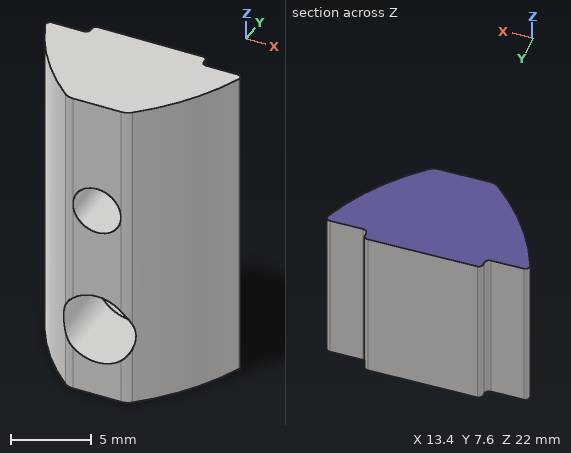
import cadquery as cq
import math

depth = 7.6
length = 22.0

rib_width = 7.83
rib_height = 0.8
shoulder_y = depth - rib_height
flank_radius = 16.0
flank_foot_x = 2.02
flank_top_x = 6.85
front_fillet = 1.01
shoulder_fillet = 0.3
rib_fillet = 0.3
rib_root_fillet = 0.3

through_diameter = 3.3
through_z = 14.0
blind_diameter = 5.0
blind_z = 5.0
blind_depth = 5.0
tip_diameter = 0.3
tip_angle = 120.0


def make_body():
    """Extruded profile with bulging flanks and a low rib along the back."""
    rib_x = rib_width / 2
    chord_x = flank_top_x - flank_foot_x
    chord = math.hypot(chord_x, shoulder_y)
    bulge = flank_radius - math.sqrt(flank_radius**2 - (chord / 2) ** 2)
    mid_x = (flank_foot_x + flank_top_x) / 2 + bulge * shoulder_y / chord
    mid_y = shoulder_y / 2 - bulge * chord_x / chord
    body = (
        cq.Workplane("XY")
        .moveTo(-flank_foot_x, 0)
        .lineTo(flank_foot_x, 0)
        .threePointArc((mid_x, mid_y), (flank_top_x, shoulder_y))
        .lineTo(rib_x, shoulder_y)
        .lineTo(rib_x, depth)
        .lineTo(-rib_x, depth)
        .lineTo(-rib_x, shoulder_y)
        .lineTo(-flank_top_x, shoulder_y)
        .threePointArc((-mid_x, mid_y), (-flank_foot_x, 0))
        .close()
        .extrude(length)
    )
    corners = [
        (flank_foot_x, 0, front_fillet),
        (flank_top_x, shoulder_y, shoulder_fillet),
        (rib_x, shoulder_y, rib_root_fillet),
        (rib_x, depth, rib_fillet),
    ]
    for x, y, radius in corners:
        for side in (-1, 1):
            corner = cq.selectors.NearestToPointSelector((side * x, y, length / 2))
            body = body.edges(corner).fillet(radius)
    return body


def make_through_hole():
    return (
        cq.Workplane("XZ", origin=(0, 0, through_z))
        .circle(through_diameter / 2)
        .extrude(-depth)
    )


def make_blind_hole():
    """Flat-tipped drill shape, turned about an axis along Y."""
    radius = blind_diameter / 2
    tip_radius = tip_diameter / 2
    cone_height = (radius - tip_radius) / math.tan(math.radians(tip_angle / 2))
    floor_y = blind_depth + cone_height
    return (
        cq.Workplane("XY", origin=(0, 0, blind_z))
        .moveTo(0, 0)
        .lineTo(radius, 0)
        .lineTo(radius, blind_depth)
        .lineTo(tip_radius, floor_y)
        .lineTo(0, floor_y)
        .close()
        .revolve(360, (0, 0, 0), (0, 1, 0))
    )


result = make_body().cut(make_through_hole()).cut(make_blind_hole())